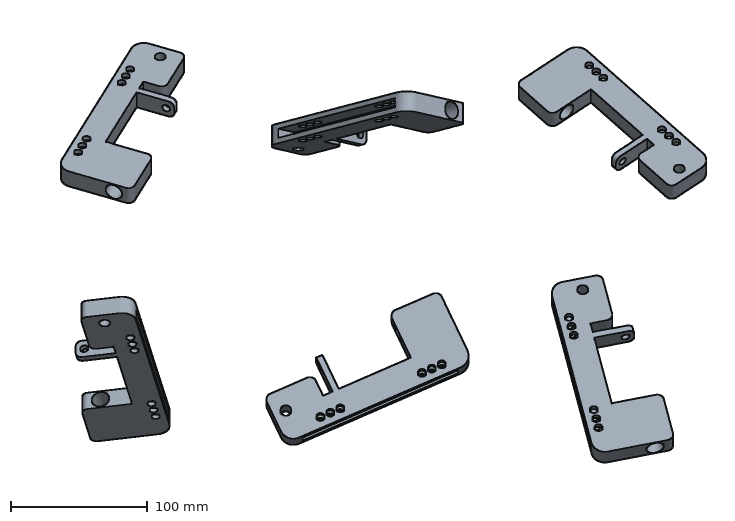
import cadquery as cq

length = 150.0
width = 60.0
thickness = 15.0

arm_width = 22.0
lower_pad_length = 40.0
upper_pad_length = 39.5
upper_pad_width = 39.5
outer_corner_radius = 10.0
pad_corner_radius = 5.0

lug_reach = 52.0
lug_thickness = 5.0
lug_start_y = 98.0
lug_corner_radius = 5.0

bore_diameter = 13.0
pin_diameter = 6.0
pin_axis_x = lug_reach - bore_diameter / 2

row_hole_diameter = 6.0
row_hole_x = 8.0
row_hole_pitch = 8.0
row_holes = 3
row_start_ys = (21.6, 103.2)
slot_start_y = 12.0
slot_length = 125.0
slot_height = 6.9
slot_depth = 2 * row_hole_x

mount_diameter = 8.0
mount_x = 23.0
mount_y = 140.1


def block(x, y, z, size_x, size_y, size_z):
    """Box placed by its lowest corner."""
    return cq.Workplane("XY").box(size_x, size_y, size_z, centered=False).translate((x, y, z))


def make_plate():
    outline = [
        (0, 0),
        (width, 0),
        (width, lower_pad_length),
        (arm_width, lower_pad_length),
        (arm_width, length - upper_pad_length),
        (upper_pad_width, length - upper_pad_length),
        (upper_pad_width, length),
        (0, length),
    ]
    plate = cq.Workplane("XY").polyline(outline).close().extrude(thickness)
    plate = plate.edges("|Z and <X").fillet(outer_corner_radius)
    plate = plate.edges("|Z and >X").fillet(pad_corner_radius)
    pad_end = cq.selectors.BoxSelector(
        (arm_width + pad_corner_radius, length / 2, 0),
        (width, 2 * length, thickness),
    )
    return plate.edges("|Z").edges(pad_end).fillet(pad_corner_radius)


def make_lug():
    lug = block(arm_width, lug_start_y, 0, lug_reach - arm_width, lug_thickness, thickness)
    return lug.edges("|Y and >X").fillet(lug_corner_radius)


def cross_hole(diameter, start_y, depth):
    """Cylinder along +Y on the pin axis."""
    base = cq.Workplane("XZ", origin=(pin_axis_x, start_y, thickness / 2))
    return base.circle(diameter / 2).extrude(-depth)


def vertical_holes(points, diameter):
    return cq.Workplane("XY").pushPoints(points).circle(diameter / 2).extrude(thickness)


row_points = [
    (row_hole_x, start + index * row_hole_pitch)
    for start in row_start_ys
    for index in range(row_holes)
]

slot_bottom = (thickness - slot_height) / 2

result = make_plate().union(make_lug())
result = result.cut(block(0, slot_start_y, slot_bottom, slot_depth, slot_length, slot_height))
result = result.cut(cross_hole(bore_diameter, 0, lower_pad_length))
result = result.cut(cross_hole(pin_diameter, lug_start_y, lug_thickness))
result = result.cut(vertical_holes(row_points, row_hole_diameter))
result = result.cut(vertical_holes([(mount_x, mount_y)], mount_diameter))